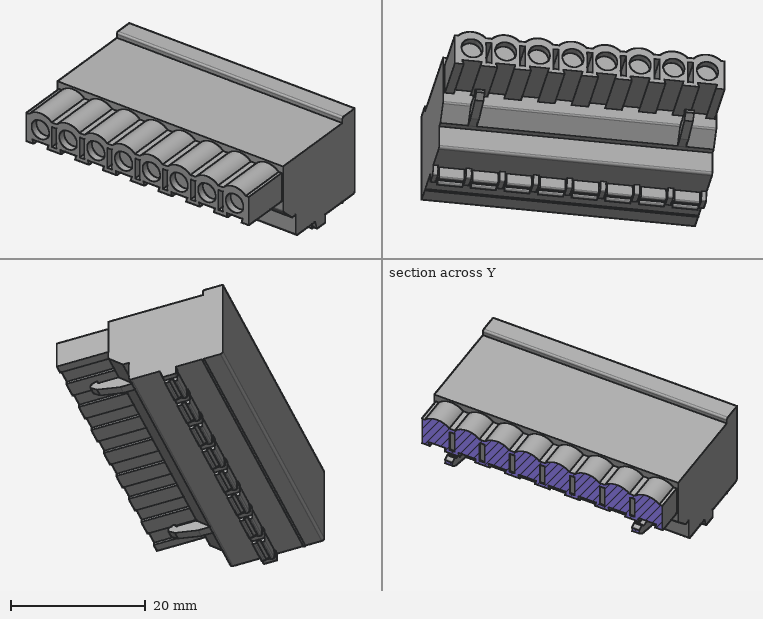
import cadquery as cq


pole_count = 8
pole_pitch = 5.07
pole_xs = [(i - (pole_count - 1) / 2) * pole_pitch for i in range(pole_count)]
wall_xs = [(i - pole_count / 2) * pole_pitch for i in range(pole_count + 1)]
gap_xs = wall_xs[1:-1]

width = 41.25
body_height = 13.8
body_front = -18.28
foot_front = -14.98
step_height = 3.7
bevel_start = -15.95
bevel_height = 5.9
edge_radius = 0.4
rim_edge_radius = 0.35
rim_height = 14.77
rim_depth = 3.18
bead_radius = 0.15

entry_front = -26.6
entry_width = 40.72
entry_bottom = 7.6
shoulder_height = 12.55
hole_height = 10.52
hole_radius = 1.6
hole_depth = 1.25
barrel_radius = 2.9
notch_height = 0.7
notch_top_width = 2.95
notch_bottom_width = 2.5
slot_width = 0.83
slot_bottom = entry_bottom + notch_height
slot_top = 11.75
slot_depth = 4.13

latch_x = 15.8
latch_width = 1.28
latch_tip = -22.78
latch_nose_radius = 0.5
latch_taper_start = -18.0
hook_start = -21.4
hook_rear = -21.7
hook_front = -21.95
hook_top = 6.35
tip_bottom = 5.35
chin_height = 4.6

rib_rear = -7.5
rib_front = -10.05
rib_tip_front = -9.65
rib_drop = 1.45
rib_width = 0.83
rib_radius = 0.15
key_width = 3.8
key_rear = -7.65
rear_nub_front = -8.25
rear_nub_drop = 1.95
front_nub_rear = -8.95
front_nub_drop = 1.8
nub_radius = 0.2


def side_profile(points, x_center, x_width):
    """Extrude a closed (Y, Z) outline along X, centred on x_center."""
    sketch = cq.Workplane("YZ", origin=(x_center, 0, 0)).polyline(points).close()
    return sketch.extrude(x_width / 2, both=True)


def box(x_center, x_width, y_front, y_rear, z_bottom, z_top):
    """Box given by its X centre and width and its Y and Z limits."""
    size = (x_width, y_rear - y_front, z_top - z_bottom)
    corner = (x_center - x_width / 2, y_front, z_bottom)
    return cq.Workplane("XY").box(*size, centered=False).translate(corner)


def make_rib(x):
    """Coding rib with a sloped front and rounded lower edges, cut short at the body's end faces."""
    left = max(x - rib_width / 2, -width / 2)
    right = min(x + rib_width / 2, width / 2)
    outline = [
        (rib_rear, 0),
        (rib_front, 0),
        (rib_tip_front, -rib_drop),
        (rib_rear, -rib_drop),
    ]
    return side_profile(outline, (left + right) / 2, right - left).edges("|X and <Z").fillet(rib_radius)


def make_body():
    """Stepped housing with a raised rear rim, a bead below the rim and coding ribs."""
    outline = [
        (0, 0),
        (0, rim_height),
        (-rim_depth, rim_height),
        (-rim_depth, body_height),
        (body_front, body_height),
        (body_front, bevel_height),
        (bevel_start, step_height),
        (foot_front, step_height),
        (foot_front, 0),
    ]
    rounded_corners = [
        (0, 0, edge_radius),
        (-rim_depth, rim_height, rim_edge_radius),
        (body_front, bevel_height, edge_radius),
        (foot_front, 0, edge_radius),
    ]
    body = side_profile(outline, 0, width)
    for x in wall_xs:
        body = body.union(make_rib(x))
    body = body.clean()
    for y, z, radius in rounded_corners:
        corner_edge = cq.selectors.NearestToPointSelector((0, y, z))
        body = body.edges(corner_edge).fillet(radius)
    bead = cq.Workplane("YZ").center(-rim_depth, 0).circle(bead_radius).extrude(width / 2, both=True)
    return body.union(bead)


def make_entry_block():
    """Block of wire entries: barrel tops, blind holes, dovetail notches and slots between poles."""
    block = box(0, entry_width, entry_front, body_front, entry_bottom, shoulder_height)
    length = body_front - entry_front
    face = cq.Workplane("XZ", origin=(0, entry_front, 0))
    for x in pole_xs:
        barrel = face.center(x, hole_height).circle(barrel_radius).extrude(-length)
        above_shoulder = box(x, pole_pitch, entry_front, body_front, shoulder_height, body_height)
        block = block.union(barrel.intersect(above_shoulder))
        hole = face.center(x, hole_height).circle(hole_radius).extrude(-hole_depth)
        notch = face.polyline([
            (x - notch_bottom_width / 2, entry_bottom),
            (x - notch_top_width / 2, entry_bottom + notch_height),
            (x + notch_top_width / 2, entry_bottom + notch_height),
            (x + notch_bottom_width / 2, entry_bottom),
        ]).close().extrude(-length)
        block = block.cut(hole).cut(notch)
    for x in gap_xs:
        block = block.cut(box(x, slot_width, entry_front, entry_front + slot_depth, slot_bottom, slot_top))
    return block


def make_latch(x):
    """Hooked latch arm that fills the bevel and reaches forward below the wire entries."""
    outline = [
        (bevel_start, step_height),
        (bevel_start, bevel_height),
        (hook_start, bevel_height),
        (hook_rear, hook_top),
        (hook_front, hook_top),
        (latch_tip, bevel_height),
        (latch_tip, tip_bottom),
        (hook_rear, chin_height),
        (latch_taper_start, step_height),
    ]
    arm = side_profile(outline, x, latch_width)
    nose_edge = cq.selectors.NearestToPointSelector((x, latch_tip, bevel_height))
    return arm.edges(nose_edge).fillet(latch_nose_radius)


def make_key(x):
    """Coding key that ends in two rounded nubs with a groove between them."""
    key = box(x, key_width, rib_tip_front, key_rear, -rib_drop, 0)
    rear_nub = box(x, key_width, rear_nub_front, key_rear, -rear_nub_drop, 0)
    front_nub = box(x, key_width, rib_tip_front, front_nub_rear, -front_nub_drop, 0)
    for nub in (rear_nub, front_nub):
        key = key.union(nub.edges("|X and <Z").fillet(nub_radius))
    return key


result = make_body().union(make_entry_block())
for x in (-latch_x, latch_x):
    result = result.union(make_latch(x))
for x in pole_xs:
    result = result.union(make_key(x))
result = result.clean()